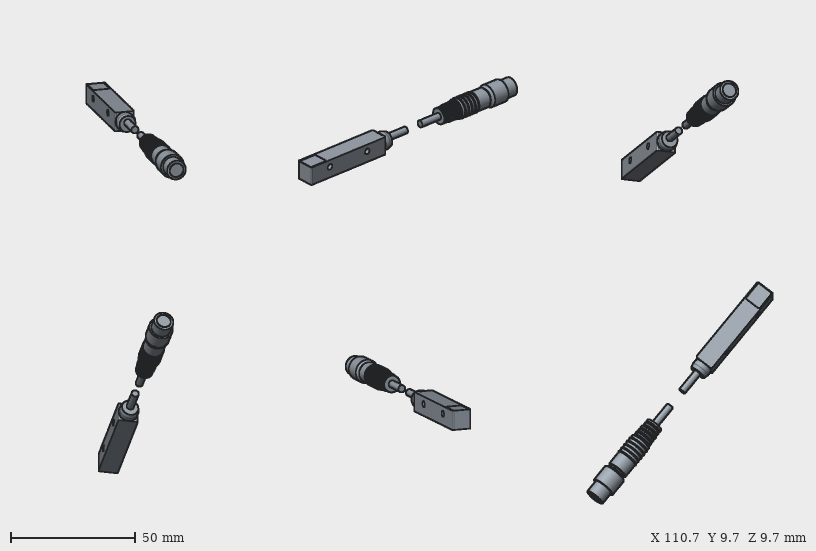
import cadquery as cq

CABLE_DIAMETER = 3.0
SENSOR_CABLE_END = 54.0
CONNECTOR_CABLE_START = 61.8

HOUSING_LENGTH = 40.0
HOUSING_SIDE = 8.0
HOUSING_AXIS_Z = -0.5
HOUSING_CORNER_RADIUS = 0.5
HOUSING_TOP_Z = HOUSING_AXIS_Z + HOUSING_SIDE / 2

HOLE_DIAMETER = 2.4
HOLE_SPACING = HOUSING_LENGTH / 2
HOLE_Z = 0.3

WINDOW_START = 0.2
WINDOW_LENGTH = 8.3
WINDOW_WIDTH = 7.0
WINDOW_DEPTH = 0.1
WINDOW_CORNER_RADIUS = 0.7

GROMMET_DIAMETER = 7.7
GROMMET_TIP_DIAMETER = 6.8
GROMMET_STRAIGHT_LENGTH = 2.2
GROMMET_TAPER_LENGTH = 1.8

RELIEF_START = 71.7
RELIEF_END = 80.7
RIB_WIDTH = 1.0
RIB_DIAMETERS = [7.0, 7.0, 7.5, 7.5, 7.7]
GROOVE_DIAMETERS = [6.5, 6.5, 6.5, 7.0, 7.2]
RIB_PITCH = (RELIEF_END - RELIEF_START) / len(RIB_DIAMETERS)

BARREL_DIAMETER = 8.5
BARREL_END = 95.9
GRIP_RING_COUNT = 5
GRIP_RING_DIAMETER = 9.0
GRIP_RING_WIDTH = 0.4
FIRST_GRIP_RING = 82.1
LAST_GRIP_RING = 89.3
GRIP_RING_PITCH = (LAST_GRIP_RING - FIRST_GRIP_RING) / (GRIP_RING_COUNT - 1)

NECK_DIAMETER = 6.5
NUT_DIAMETER = 9.7
NUT_START = 96.8
NUT_CONE_START_DIAMETER = 7.0
NUT_CONE_LENGTH = 1.0
NUT_END = 104.9
PLUG_DIAMETER = 8.0
PLUG_END = 110.4
PLUG_FACE_DIAMETER = 5.8
CONNECTOR_END = 110.7


def cylinder(start, end, diameter, axis_z=0.0):
    """Round bar along X between two X positions."""
    return cq.Workplane("YZ", origin=(start, 0, axis_z)).circle(diameter / 2).extrude(end - start)


def cone(start, end, start_diameter, end_diameter, axis_z=0.0):
    """Tapered round bar along X between two X positions."""
    return (
        cq.Workplane("YZ", origin=(start, 0, axis_z))
        .circle(start_diameter / 2)
        .workplane(offset=end - start)
        .circle(end_diameter / 2)
        .loft(ruled=True)
    )


def make_housing():
    """Square bar with rounded upright edges, two cross holes and a recessed window."""
    housing = (
        cq.Workplane("XY")
        .box(HOUSING_LENGTH, HOUSING_SIDE, HOUSING_SIDE)
        .edges("|Z")
        .fillet(HOUSING_CORNER_RADIUS)
        .translate((HOUSING_LENGTH / 2, 0, HOUSING_AXIS_Z))
    )
    holes = (
        cq.Workplane("XZ", origin=(HOUSING_LENGTH / 2, 0, HOLE_Z))
        .pushPoints([(-HOLE_SPACING / 2, 0), (HOLE_SPACING / 2, 0)])
        .circle(HOLE_DIAMETER / 2)
        .extrude(HOUSING_SIDE, both=True)
    )
    window = (
        cq.Workplane("XY", origin=(WINDOW_START + WINDOW_LENGTH / 2, 0, HOUSING_TOP_Z - WINDOW_DEPTH))
        .rect(WINDOW_LENGTH, WINDOW_WIDTH)
        .extrude(WINDOW_DEPTH)
        .edges("|Z")
        .fillet(WINDOW_CORNER_RADIUS)
    )
    return housing.cut(holes).cut(window)


def make_sensor():
    """Sensor housing with its grommet and cable stub."""
    taper_start = HOUSING_LENGTH + GROMMET_STRAIGHT_LENGTH
    taper_end = taper_start + GROMMET_TAPER_LENGTH
    collar = cylinder(HOUSING_LENGTH, taper_start, GROMMET_DIAMETER, HOUSING_AXIS_Z)
    taper = cone(taper_start, taper_end, GROMMET_DIAMETER, GROMMET_TIP_DIAMETER, HOUSING_AXIS_Z)
    cable = cylinder(taper_end, SENSOR_CABLE_END, CABLE_DIAMETER)
    return make_housing().union(collar).union(taper).union(cable)


def make_connector():
    """Cable plug: cable stub, ribbed strain relief, ringed barrel, coupling nut and plug end."""
    connector = cylinder(CONNECTOR_CABLE_START, RELIEF_START, CABLE_DIAMETER)

    for index, (rib_diameter, groove_diameter) in enumerate(zip(RIB_DIAMETERS, GROOVE_DIAMETERS)):
        rib_start = RELIEF_START + index * RIB_PITCH
        rib_end = rib_start + RIB_WIDTH
        connector = connector.union(cylinder(rib_start, rib_end, rib_diameter))
        connector = connector.union(cylinder(rib_end, rib_start + RIB_PITCH, groove_diameter))

    connector = connector.union(cylinder(RELIEF_END, BARREL_END, BARREL_DIAMETER))
    for index in range(GRIP_RING_COUNT):
        ring_start = FIRST_GRIP_RING + index * GRIP_RING_PITCH
        ring = cylinder(ring_start, ring_start + GRIP_RING_WIDTH, GRIP_RING_DIAMETER)
        connector = connector.union(ring)

    cone_end = NUT_START + NUT_CONE_LENGTH
    connector = connector.union(cylinder(BARREL_END, NUT_START, NECK_DIAMETER))
    connector = connector.union(cone(NUT_START, cone_end, NUT_CONE_START_DIAMETER, NUT_DIAMETER))
    connector = connector.union(cylinder(cone_end, NUT_END, NUT_DIAMETER))
    connector = connector.union(cylinder(NUT_END, PLUG_END, PLUG_DIAMETER))
    return connector.union(cylinder(PLUG_END, CONNECTOR_END, PLUG_FACE_DIAMETER))


sensor = make_sensor()
connector = make_connector()
result = cq.Compound.makeCompound([sensor.val(), connector.val()])